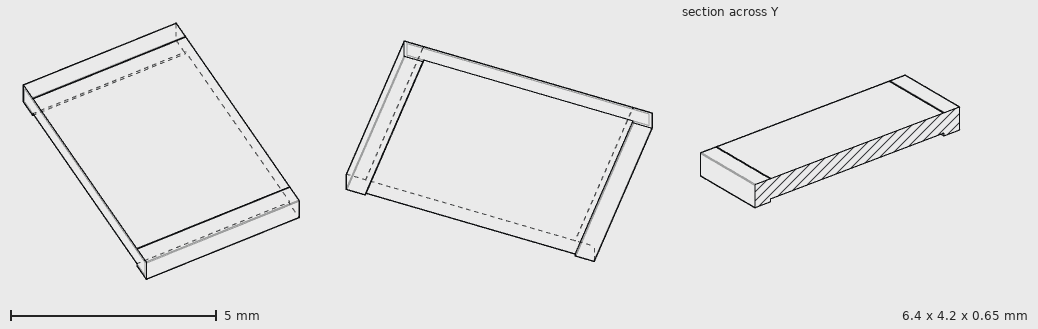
import cadquery as cq

length = 6.4
width = 4.2
height = 0.65

plating = 0.08
terminal_length = 0.5
edge_radius = 0.02

substrate_length = length - 2 * plating
substrate_height = height - 2 * plating

coating_length = length - 2 * terminal_length


def block(size_x, size_z, bottom):
    """Full-width block centred on X and Y, with its underside at the given height."""
    centred_block = cq.Workplane("XY").box(size_x, width, size_z, centered=(True, True, False))
    return centred_block.translate((0, 0, bottom))


def terminal(side, core):
    """C-shaped cap with rounded edges, wrapped round the core; side is -1 for -X and +1 for +X."""
    centre_x = side * (length - terminal_length) / 2
    cap = block(terminal_length, height, 0).edges("|Y").fillet(edge_radius)
    return cap.translate((centre_x, 0, 0)).cut(core)


substrate = block(substrate_length, substrate_height, plating)
coating = block(coating_length, plating, height - plating)

result = substrate.union(coating, clean=False)
for side in (-1, 1):
    result = result.union(terminal(side, substrate), clean=False)